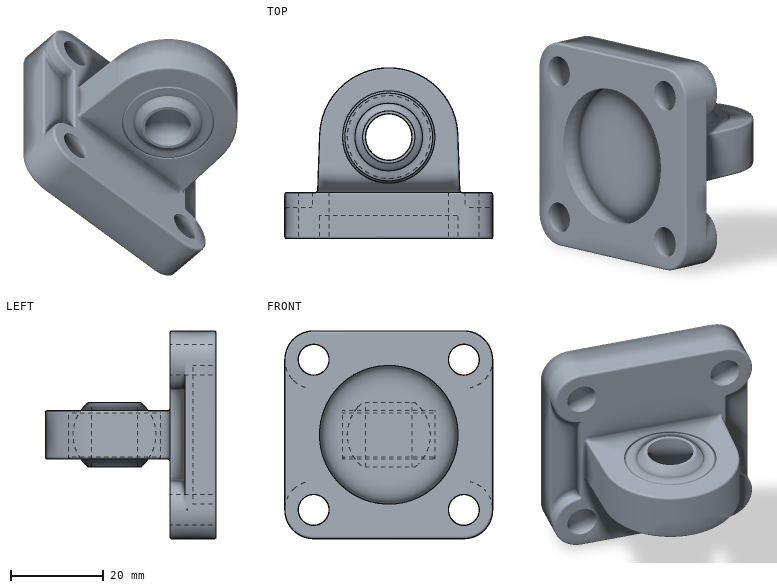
import cadquery as cq
import math


flange_side = 45.0
flange_thickness = 10.0
corner_radius = 6.25
bolt_hole_diameter = 6.6
recess_diameter = 30.0
recess_depth = 5.0
edge_radius = 0.5

half_side = flange_side / 2
bolt_offset = half_side - corner_radius
bolt_centres = [(x, z) for x in (-bolt_offset, bolt_offset) for z in (-bolt_offset, bolt_offset)]

notch_floor_y = 6.75
notch_depth = 6.0
notch_overrun = 0.9

lug_radius = 15.0
lug_thickness = 10.5
lug_taper = math.radians(2)
bearing_y = 22.0

race_diameter = 20.0
race_chamfer = 0.5
ball_diameter = 18.0
ball_width = 14.0
bore_diameter = 10.0

pick_margin = 0.05


def cylinder_along_y(x, z, diameter, start, end):
    """Cylinder about the line through (x, z), from Y = start to Y = end."""
    return cq.Workplane("XZ", origin=(x, start, z)).circle(diameter / 2).extrude(start - end)


def cylinder_along_z(diameter, height):
    """Cylinder on the bearing axis, centred on Z = 0."""
    return cq.Workplane("XY").center(0, bearing_y).circle(diameter / 2).extrude(height / 2, both=True)


def make_notch_cutter():
    """Space of the notch on the +X side, with the rounding of its floor rim and inner corners."""
    wall_x = half_side - notch_depth
    outer_x = half_side + notch_overrun
    rim_x = half_side - edge_radius
    rim_y = notch_floor_y - edge_radius
    rim_middle = edge_radius * math.sqrt(0.5)
    cutter = (
        cq.Workplane("XY")
        .moveTo(wall_x, notch_floor_y)
        .lineTo(rim_x, notch_floor_y)
        .threePointArc((rim_x + rim_middle, rim_y + rim_middle), (half_side, rim_y))
        .lineTo(outer_x, rim_y)
        .lineTo(outer_x, flange_thickness)
        .lineTo(wall_x, flange_thickness)
        .close()
        .extrude(bolt_offset, both=True)
    )
    for z in (-bolt_offset, bolt_offset):
        boss = cylinder_along_y(bolt_offset, z, 2 * corner_radius, 0, flange_thickness)
        cutter = cutter.cut(boss)

    wall_edges = cq.selectors.BoxSelector(
        (wall_x - pick_margin, 0, -bolt_offset),
        (wall_x + pick_margin, flange_thickness, bolt_offset),
    )
    cutter = cutter.edges("|Y").edges(wall_edges).fillet(edge_radius)

    wall_foot = cq.selectors.NearestToPointSelector((wall_x, notch_floor_y, 0))
    return cutter.edges(wall_foot).fillet(edge_radius)


def make_flange():
    """Rounded square plate with two side notches and rounded rims, still without holes."""
    flange = (
        cq.Workplane("XY")
        .box(flange_side, flange_thickness, flange_side, centered=(True, False, True))
        .edges("|Y")
        .fillet(corner_radius)
    )
    notch = make_notch_cutter()
    flange = flange.cut(notch).cut(notch.mirror("YZ"))
    flange = flange.faces(">Y").edges().fillet(edge_radius)
    return flange.faces("<Y").edges().fillet(edge_radius)


def make_lug():
    """Round-ended lug whose flanks run tangent from the end arc down to the flange."""
    tangent_x = lug_radius * math.cos(lug_taper)
    tangent_y = bearing_y + lug_radius * math.sin(lug_taper)
    base_x = tangent_x + (tangent_y - flange_thickness) * math.tan(lug_taper)
    lug = (
        cq.Workplane("XY")
        .moveTo(-base_x, flange_thickness)
        .lineTo(-tangent_x, tangent_y)
        .threePointArc((0, bearing_y + lug_radius), (tangent_x, tangent_y))
        .lineTo(base_x, flange_thickness)
        .close()
        .extrude(lug_thickness / 2, both=True)
    )
    return lug.faces("|Z").edges("not(<Y)").fillet(edge_radius)


def make_housing():
    """Flange and lug in one piece, with bolt holes, front recess and bearing seat."""
    housing = make_flange().union(make_lug())
    base_edges = cq.selectors.BoxSelector(
        (-lug_radius - edge_radius, flange_thickness - pick_margin, -lug_thickness / 2 - pick_margin),
        (lug_radius + edge_radius, flange_thickness + pick_margin, lug_thickness / 2 + pick_margin),
    )
    housing = housing.edges(base_edges).fillet(edge_radius)

    for x, z in bolt_centres:
        housing = housing.cut(cylinder_along_y(x, z, bolt_hole_diameter, 0, flange_thickness))
    housing = housing.cut(cylinder_along_y(0, 0, recess_diameter, 0, recess_depth))
    return housing.cut(cylinder_along_z(race_diameter, lug_thickness))


def make_sphere():
    """Full sphere of the ball, also used to hollow the race."""
    return cq.Workplane("XY").sphere(ball_diameter / 2).translate((0, bearing_y, 0))


def make_race():
    """Outer ring, flush with the lug faces, with a spherical inside."""
    race = cylinder_along_z(race_diameter, lug_thickness).faces("|Z").edges().chamfer(race_chamfer)
    return race.cut(make_sphere())


def make_ball():
    """Truncated sphere with a through bore."""
    ball = make_sphere().intersect(cylinder_along_z(ball_diameter, ball_width))
    return ball.cut(cylinder_along_z(bore_diameter, ball_width))


housing = make_housing()
race = make_race()
ball = make_ball()

result = cq.Compound.makeCompound([housing.val(), race.val(), ball.val()])